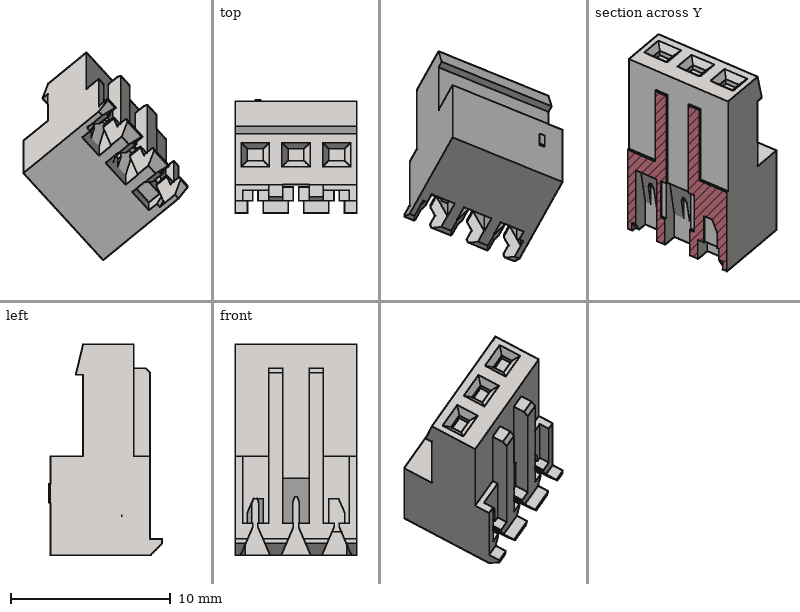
import cadquery as cq


POSITIONS = 3
WIDTH = 7.62
PITCH = WIDTH / POSITIONS
HALF_WIDTH = WIDTH / 2
CENTRES = [(i - (POSITIONS - 1) / 2) * PITCH for i in range(POSITIONS)]
RIB_CENTRES = [x + PITCH / 2 for x in CENTRES[:-1]]

HEIGHT = 13.21
SHOULDER_Z = 6.21
BODY_BACK = 6.24
TOWER_FRONT = 1.02
TOWER_BACK = 4.2
LATCH_REACH = 0.46
LATCH_Z = 11.28
FOOT_REACH = 0.75
FOOT_TOP = 1.03
FOOT_TIP = 0.75

RIB_WIDTH = 0.89
RIB_TOP = 11.7
RIB_CHAMFER = 0.28

POCKET_HALF_SPAN = 3.34
POCKET_FLOOR = 2.02
POCKET_DEPTH = 0.66
LIP_DEPTH = 0.89
WINDOW_TOP = 3.55
WINDOW_SIDE_TOP = 2.68
WINDOW_HALF_WIDTH = 0.5
WINDOW_PEAK = 0.12

CAVITY_HALF_WIDTH = 0.95
CAVITY_HALF_SPAN = 3.18
CAVITY_TOP = 4.83
CAVITY_BACK_TOP = 1.36
CAVITY_BACK = 1.9
RAMP_BOTTOM = 1.78
BLOCKED_TOP = 1.49
LEAD_IN_HEIGHT = 0.65
LEAD_IN_DEPTH = 0.37

GROOVE_HALF_WIDTH = 0.21
GROOVE_SIDE_TOP = 3.29
GROOVE_TOP = 3.67
GROOVE_PEAK = 0.08

NECK_HALF_WIDTH = 0.16
NECK_BOTTOM = 1.78
FLARE_HALF_WIDTH = 0.92

SOCKET_LENGTH = 1.76
SOCKET_WIDTH = 1.5
SOCKET_Y = 2.89
SOCKET_INSET = 0.38
SOCKET_TAPER_DEPTH = 0.4
SOCKET_DEPTH = 0.74

MARK_X = -2.36
MARK_WIDTH = 0.35
MARK_BOTTOM = 3.29
MARK_HEIGHT = 1.19
MARK_RAISE = 0.1


def block(x0, x1, y0, y1, z0, z1):
    return cq.Workplane("XY").box(x1 - x0, y1 - y0, z1 - z0, centered=False).translate((x0, y0, z0))


def side_prism(points, x0, x1):
    """Extrude a (Y, Z) outline from x0 to x1."""
    return cq.Workplane("YZ").workplane(offset=x0).polyline(points).close().extrude(x1 - x0)


def front_prism(points, y0, y1):
    """Extrude an (X, Z) outline from y0 to y1."""
    return cq.Workplane("XZ").workplane(offset=-y0).polyline(points).close().extrude(y0 - y1)


def housing():
    outline = [
        (0, 0),
        (BODY_BACK, 0),
        (BODY_BACK, SHOULDER_Z),
        (TOWER_BACK, SHOULDER_Z),
        (TOWER_BACK, LATCH_Z),
        (TOWER_BACK + LATCH_REACH, LATCH_Z),
        (TOWER_BACK, HEIGHT),
        (TOWER_FRONT, HEIGHT),
        (TOWER_FRONT, SHOULDER_Z),
        (0, SHOULDER_Z),
        (0, FOOT_TOP),
        (-FOOT_REACH, FOOT_TOP),
        (-FOOT_REACH, FOOT_TIP),
    ]
    return side_prism(outline, -HALF_WIDTH, HALF_WIDTH)


def front_pockets():
    pocket = block(-POCKET_HALF_SPAN, POCKET_HALF_SPAN, 0, POCKET_DEPTH, POCKET_FLOOR, SHOULDER_Z)
    middle = block(RIB_CENTRES[0], RIB_CENTRES[-1], 0, TOWER_FRONT, POCKET_FLOOR, SHOULDER_Z)
    return pocket.union(middle)


def rib(x):
    outline = [
        (0, POCKET_FLOOR),
        (0, RIB_TOP - RIB_CHAMFER),
        (RIB_CHAMFER, RIB_TOP),
        (TOWER_FRONT, RIB_TOP),
        (TOWER_FRONT, CAVITY_TOP),
        (LIP_DEPTH, CAVITY_TOP),
        (LIP_DEPTH, POCKET_FLOOR),
    ]
    return side_prism(outline, x - RIB_WIDTH / 2, x + RIB_WIDTH / 2)


def ramped_cavity(x):
    outline = [
        (LIP_DEPTH, 0),
        (CAVITY_BACK, 0),
        (CAVITY_BACK, RAMP_BOTTOM),
        (CAVITY_BACK_TOP, CAVITY_TOP),
        (LIP_DEPTH, CAVITY_TOP),
    ]
    left = max(x - CAVITY_HALF_WIDTH, -CAVITY_HALF_SPAN)
    return side_prism(outline, left, x + CAVITY_HALF_WIDTH)


def blocked_cavity(x):
    """Low cavity with a shallow recess above it, behind the lip and the window."""
    right = min(x + CAVITY_HALF_WIDTH, CAVITY_HALF_SPAN)
    low = block(x - CAVITY_HALF_WIDTH, right, LIP_DEPTH, CAVITY_BACK, 0, BLOCKED_TOP)
    return low.union(window(x, BLOCKED_TOP, LIP_DEPTH, TOWER_FRONT))


def ramp_groove(x):
    outline = [
        (x - GROOVE_HALF_WIDTH, 0),
        (x - GROOVE_HALF_WIDTH, GROOVE_SIDE_TOP),
        (x - GROOVE_PEAK, GROOVE_TOP),
        (x + GROOVE_PEAK, GROOVE_TOP),
        (x + GROOVE_HALF_WIDTH, GROOVE_SIDE_TOP),
        (x + GROOVE_HALF_WIDTH, 0),
    ]
    return front_prism(outline, LIP_DEPTH, CAVITY_BACK)


def lip_slot(x):
    outline = [
        (x - FLARE_HALF_WIDTH, 0),
        (x - NECK_HALF_WIDTH, NECK_BOTTOM),
        (x - NECK_HALF_WIDTH, POCKET_FLOOR),
        (x + NECK_HALF_WIDTH, POCKET_FLOOR),
        (x + NECK_HALF_WIDTH, NECK_BOTTOM),
        (x + FLARE_HALF_WIDTH, 0),
    ]
    return front_prism(outline, -FOOT_REACH, LIP_DEPTH)


def lead_in(x):
    """Sloped relief behind the flared slot."""
    outline = [
        (LIP_DEPTH, 0),
        (LIP_DEPTH + LEAD_IN_DEPTH, 0),
        (LIP_DEPTH, LEAD_IN_HEIGHT),
    ]
    return side_prism(outline, x - FLARE_HALF_WIDTH, x + FLARE_HALF_WIDTH)


def window(x, bottom, front, back):
    """Opening in an end pocket, with its corner sloped on the outer side."""
    outward = 1 if x > 0 else -1
    outline = [
        (x - outward * WINDOW_HALF_WIDTH, bottom),
        (x - outward * WINDOW_HALF_WIDTH, WINDOW_TOP),
        (x + outward * WINDOW_PEAK, WINDOW_TOP),
        (x + outward * WINDOW_HALF_WIDTH, WINDOW_SIDE_TOP),
        (x + outward * WINDOW_HALF_WIDTH, bottom),
    ]
    return front_prism(outline, front, back)


def socket(x):
    bore_length = SOCKET_LENGTH - 2 * SOCKET_INSET
    bore_width = SOCKET_WIDTH - 2 * SOCKET_INSET
    mouth = (
        cq.Workplane("XY")
        .rect(SOCKET_LENGTH, SOCKET_WIDTH)
        .workplane(offset=-SOCKET_TAPER_DEPTH)
        .rect(bore_length, bore_width)
        .loft(ruled=True)
    )
    bore = cq.Workplane("XY").rect(bore_length, bore_width).extrude(-SOCKET_DEPTH)
    return mouth.union(bore).translate((x, SOCKET_Y, HEIGHT))


def position_mark():
    return block(
        MARK_X - MARK_WIDTH / 2,
        MARK_X + MARK_WIDTH / 2,
        BODY_BACK,
        BODY_BACK + MARK_RAISE,
        MARK_BOTTOM,
        MARK_BOTTOM + MARK_HEIGHT,
    )


result = housing().cut(front_pockets())

for x in CENTRES[:-1]:
    result = result.cut(ramped_cavity(x)).cut(ramp_groove(x))

result = result.cut(blocked_cavity(CENTRES[-1]))

for x in CENTRES:
    result = result.cut(lip_slot(x)).cut(lead_in(x)).cut(socket(x))

for x in (CENTRES[0], CENTRES[-1]):
    result = result.cut(window(x, POCKET_FLOOR, POCKET_DEPTH, LIP_DEPTH))

for x in RIB_CENTRES:
    result = result.union(rib(x))

result = result.union(position_mark())